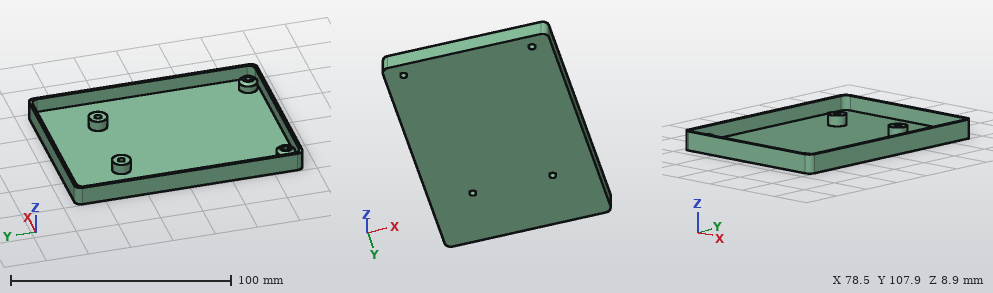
import cadquery as cq

width = 78.5
length = 107.9
height = 8.9
wall = 1.2
floor_thickness = 2.0
corner_radius = 3.0

post_diameter = 8.5
hole_diameter = 3.0
post_height = 5.0
post_top = floor_thickness + post_height
rear_post_x = 18.9
rear_post_y = 26.5

tip_height = 1.5
tip_diameter = 5.2
front_post_x = 30.3
front_post_y = -47.9

rear_positions = [(side * rear_post_x, rear_post_y) for side in (-1, 1)]
front_positions = [(side * front_post_x, front_post_y) for side in (-1, 1)]


def rounded_block(size_x, size_y, size_z):
    """Upright block with rounded vertical edges, standing on Z = 0."""
    block = cq.Workplane("XY").box(size_x, size_y, size_z, centered=(True, True, False))
    return block.edges("|Z").fillet(corner_radius)


def make_tray():
    """Open-topped tray with a flat floor."""
    cavity = rounded_block(width - 2 * wall, length - 2 * wall, height)
    return rounded_block(width, length, height).cut(cavity.translate((0, 0, floor_thickness)))


def rear_post(x, y):
    """Plain cylinder rising through the floor."""
    post = cq.Workplane("XY").circle(post_diameter / 2).extrude(post_top)
    return post.translate((x, y, 0))


def front_post(x, y):
    """Cylinder with a conical tip, revolved from its half section."""
    profile = [
        (0, 0),
        (post_diameter / 2, 0),
        (post_diameter / 2, post_top - tip_height),
        (tip_diameter / 2, post_top),
        (0, post_top),
    ]
    post = cq.Workplane("XZ").polyline(profile).close().revolve(360, (0, 0), (0, 1))
    return post.translate((x, y, 0))


result = make_tray()
for x, y in rear_positions:
    result = result.union(rear_post(x, y))
for x, y in front_positions:
    result = result.union(front_post(x, y))

holes = (
    cq.Workplane("XY")
    .pushPoints(rear_positions + front_positions)
    .circle(hole_diameter / 2)
    .extrude(height)
)
result = result.cut(holes)